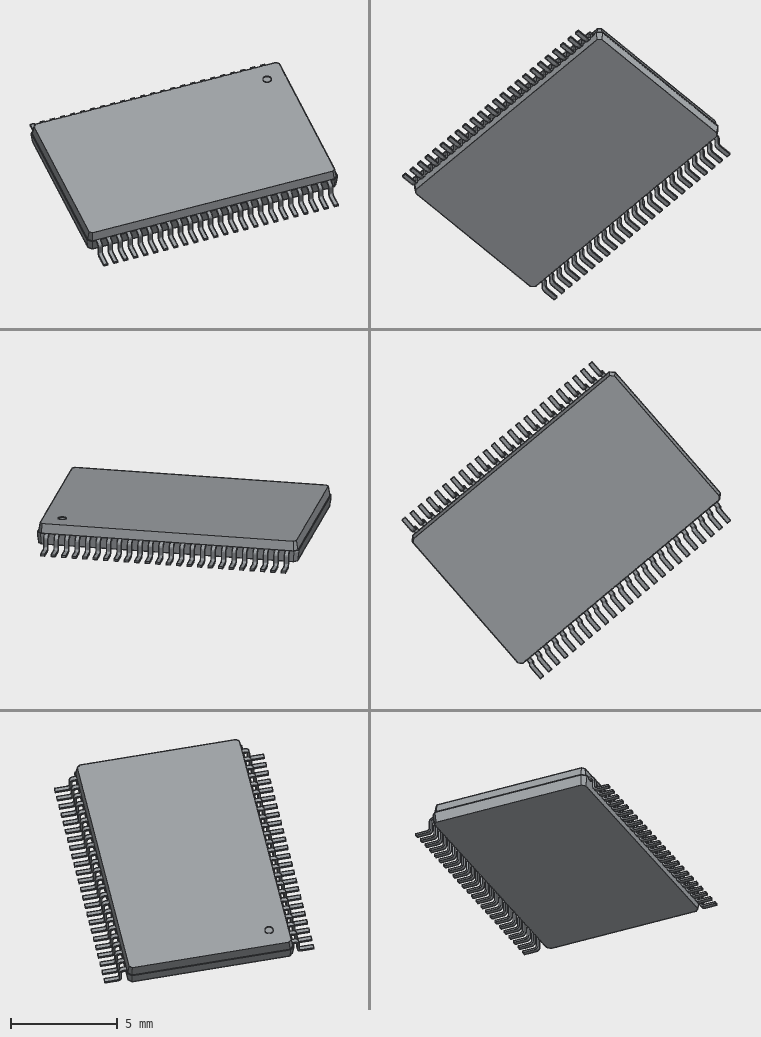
import cadquery as cq

body_width = 8.0
body_length = 12.5
corner_chamfer = 0.2
body_bottom = 0.2
band_bottom = 0.65
band_top = 0.75
body_top = 1.2
ledge = 0.05
top_inset = 0.08
bottom_inset = 0.06

mark_diameter = 0.4
mark_depth = 0.05
mark_x = -2.98
mark_y = 5.22

lead_span = 10.0
lead_count = 24
lead_pitch = 0.5
lead_width = 0.2
lead_thickness = band_top - band_bottom
lead_embed = 0.25
shank_outer_x = 4.3
bend_inner_radius = 0.1


def body_outline(height, inset):
    """Chamfered rectangle at a height, offset inward evenly on all its sides."""
    chamfer_loss = inset * (2 - 2**0.5)
    return (
        cq.Sketch()
        .rect(body_width - 2 * inset, body_length - 2 * inset)
        .vertices()
        .chamfer(corner_chamfer - chamfer_loss)
        .moved(cq.Location(cq.Vector(0, 0, height)))
    )


def body_layer(bottom, bottom_offset, top, top_offset):
    """Solid between two inset outlines."""
    lower = body_outline(bottom, bottom_offset)
    upper = body_outline(top, top_offset)
    return cq.Workplane("XY").placeSketch(lower, upper).loft(ruled=True)


def make_body():
    lower_half = body_layer(body_bottom, bottom_inset, band_bottom, 0)
    band = body_layer(band_bottom, 0, band_top, 0)
    upper_half = body_layer(band_top, ledge, body_top, ledge + top_inset)
    return lower_half.union(band).union(upper_half)


def make_pin_mark():
    return (
        cq.Workplane("XY", origin=(mark_x, mark_y, body_top - mark_depth))
        .circle(mark_diameter / 2)
        .extrude(mark_depth)
    )


def round_corner(lead, corner, radius):
    """Fillet the lead edge along Y that runs through an (x, z) corner."""
    corner_x, corner_z = corner
    nearest = cq.selectors.NearestToPointSelector((corner_x, 0, corner_z))
    return lead.edges("|Y").edges(nearest).fillet(radius)


def make_lead():
    """Lead on the +X side, centred on Y = 0."""
    root_x = body_width / 2 - lead_embed
    tip_x = lead_span / 2
    shank_inner_x = shank_outer_x - lead_thickness
    lead = (
        cq.Workplane("XZ", origin=(0, lead_width / 2, 0))
        .moveTo(root_x, band_top)
        .lineTo(shank_outer_x, band_top)
        .lineTo(shank_outer_x, lead_thickness)
        .lineTo(tip_x, lead_thickness)
        .lineTo(tip_x, 0)
        .lineTo(shank_inner_x, 0)
        .lineTo(shank_inner_x, band_bottom)
        .lineTo(root_x, band_bottom)
        .close()
        .extrude(lead_width)
    )
    bends = [
        ((shank_outer_x, band_top), (shank_inner_x, band_bottom)),
        ((shank_inner_x, 0), (shank_outer_x, lead_thickness)),
    ]
    for outer_corner, inner_corner in bends:
        lead = round_corner(lead, outer_corner, bend_inner_radius + lead_thickness)
        lead = round_corner(lead, inner_corner, bend_inner_radius)
    return lead


def make_leads():
    """Both rows of leads, evenly spaced about Y = 0."""
    row_start = -(lead_count - 1) / 2 * lead_pitch
    row_places = [(0, row_start + index * lead_pitch) for index in range(lead_count)]
    lead = make_lead().val()
    right_row = cq.Workplane().pushPoints(row_places).eachpoint(lead.moved, combine=False)
    left_row = right_row.mirror("YZ")
    return right_row.vals() + left_row.vals()


body = make_body().cut(make_pin_mark())
fused_part = body.val().fuse(*make_leads())
result = cq.Workplane(fused_part.Solids()[0])